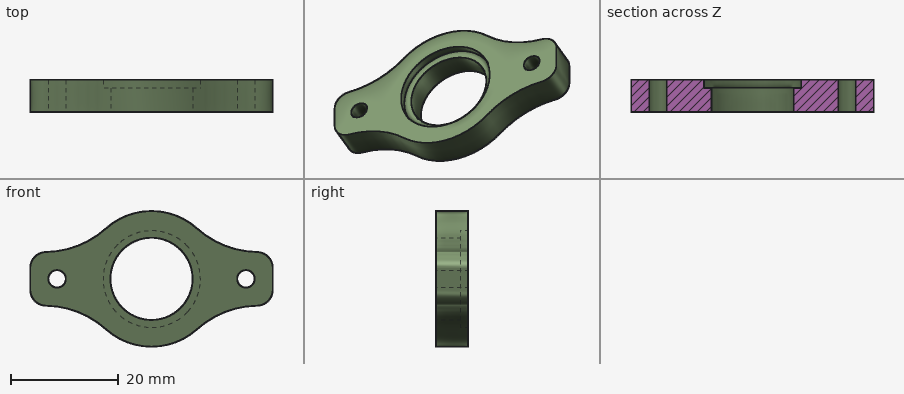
import cadquery as cq
import math

plate_length = 45.0
plate_thickness = 6.0
ear_height = 10.0
ear_corner_radius = 3.0
hub_radius = 12.6
waist_radius = 17.0

bore_diameter = 15.2
back_step_diameter = 18.0
back_step_depth = 1.5

screw_hole_diameter = 3.2
screw_hole_spacing = 35.0

half_length = plate_length / 2
corner_x = half_length - ear_corner_radius
corner_z = ear_height / 2 - ear_corner_radius


def point_on_circle(center, radius, angle):
    """Point on a circle in the XZ plane, with the angle in radians from +X towards +Z."""
    return (center[0] + radius * math.cos(angle), center[1] + radius * math.sin(angle))


def quarter_outline():
    """Closed profile of the +X, +Z quarter; the concave waist is tangent to the hub and the ear corner."""
    hub_center = (0, 0)
    corner_center = (corner_x, corner_z)

    hub_to_corner = math.hypot(corner_x, corner_z)
    hub_to_waist = hub_radius + waist_radius
    corner_to_waist = ear_corner_radius + waist_radius
    angle_at_hub = math.acos(
        (hub_to_corner**2 + hub_to_waist**2 - corner_to_waist**2) / (2 * hub_to_corner * hub_to_waist)
    )
    hub_end_angle = math.atan2(corner_z, corner_x) + angle_at_hub
    waist_center = point_on_circle(hub_center, hub_to_waist, hub_end_angle)
    corner_end_angle = math.atan2(waist_center[1] - corner_z, waist_center[0] - corner_x)

    waist_middle_angle = math.pi + (hub_end_angle + corner_end_angle) / 2
    hub_middle_angle = (hub_end_angle + math.pi / 2) / 2
    return (
        cq.Workplane("XZ")
        .lineTo(half_length, 0)
        .lineTo(half_length, corner_z)
        .threePointArc(
            point_on_circle(corner_center, ear_corner_radius, corner_end_angle / 2),
            point_on_circle(corner_center, ear_corner_radius, corner_end_angle),
        )
        .threePointArc(
            point_on_circle(waist_center, waist_radius, waist_middle_angle),
            point_on_circle(hub_center, hub_radius, hub_end_angle),
        )
        .threePointArc(
            point_on_circle(hub_center, hub_radius, hub_middle_angle),
            (0, hub_radius),
        )
        .close()
    )


def plate():
    """Full plate, mirrored from one quarter about the YZ and XY planes."""
    quarter = quarter_outline().extrude(plate_thickness)
    upper_half = quarter.union(quarter.mirror("YZ"))
    return upper_half.union(upper_half.mirror("XY")).clean()


def cylinder_from_back(diameter, depth):
    """Cutter on the hub axis, reaching from the back face to the given depth."""
    return cq.Workplane("XZ").circle(diameter / 2).extrude(depth)


def screw_holes():
    """Cutters for the through hole in each ear."""
    return (
        cq.Workplane("XZ")
        .rarray(screw_hole_spacing, 1, 2, 1)
        .circle(screw_hole_diameter / 2)
        .extrude(plate_thickness)
    )


result = (
    plate()
    .cut(cylinder_from_back(bore_diameter, plate_thickness))
    .cut(cylinder_from_back(back_step_diameter, back_step_depth))
    .cut(screw_holes())
)